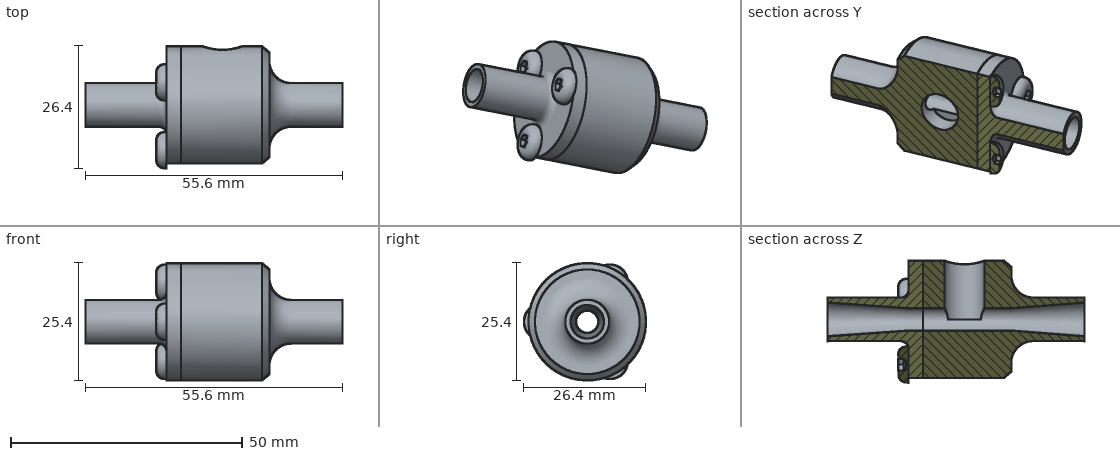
import cadquery as cq
import math

LENGTH = 55.65
X_START = -LENGTH / 2
X_END = LENGTH / 2
CAP_FACE_X = X_START + 17.5
CAP_THICKNESS = 3.15
JOINT_X = CAP_FACE_X + CAP_THICKNESS
HOUSING_FACE_X = X_START + 39.85

BODY_RADIUS = 25.4 / 2
TUBE_RADIUS = 9.5 / 2
CAP_FILLET = 12.6 / 2 - TUBE_RADIUS
HOUSING_FILLET = 4.6
CHAMFER_LENGTH = 1.65
CHAMFER_DEPTH = 1.4

MOUTH_RADIUS = 7.25 / 2
BORE_RADIUS = 4.8 / 2

PORT_DIAMETER = 8.6
PORT_X = X_START + 29.65

SCREW_COUNT = 3
SCREW_CIRCLE_RADIUS = 19.5 / 2
FIRST_SCREW_ANGLE = 180.0
HEAD_RADIUS = 7.9 / 2
HEAD_HEIGHT = 2.2
CROWN_RADIUS = 4.2 / 2
CROWN_ROUND = HEAD_RADIUS - CROWN_RADIUS
SOCKET_ACROSS_FLATS = 2.5
SOCKET_CORNER_DIAMETER = SOCKET_ACROSS_FLATS / math.cos(math.pi / 6)
SOCKET_DEPTH = 1.1
SOCKET_TIP_DEPTH = 0.7


def fillet_middle(center_x, center_radius, fillet, side):
    """Middle point of a quarter-circle fillet; side is the X direction towards the flange."""
    offset = fillet * math.sqrt(0.5)
    return (center_x + side * offset, center_radius - offset)


def revolve_about_x(profile):
    return profile.close().revolve(360, (0, 0, 0), (1, 0, 0))


def make_cap():
    """Cover plate with the filleted inlet tube, relieved where the screw heads sit."""
    fillet_start_x = CAP_FACE_X - CAP_FILLET
    fillet_end_radius = TUBE_RADIUS + CAP_FILLET
    profile = (
        cq.Workplane("XY")
        .moveTo(X_START, MOUTH_RADIUS)
        .lineTo(X_START, TUBE_RADIUS)
        .lineTo(fillet_start_x, TUBE_RADIUS)
        .threePointArc(
            fillet_middle(fillet_start_x, fillet_end_radius, CAP_FILLET, 1),
            (CAP_FACE_X, fillet_end_radius),
        )
        .lineTo(CAP_FACE_X, BODY_RADIUS)
        .lineTo(JOINT_X, BODY_RADIUS)
        .lineTo(JOINT_X, BORE_RADIUS)
        .lineTo(CAP_FACE_X, BORE_RADIUS)
    )
    cap = revolve_about_x(profile)
    for center in screw_centers():
        seat = cq.Workplane("YZ", origin=center).circle(HEAD_RADIUS).extrude(-HEAD_HEIGHT)
        cap = cap.cut(seat)
    return cap


def make_housing():
    """Chamfered cylinder with the flared outlet tube and the side port."""
    fillet_end_x = HOUSING_FACE_X + HOUSING_FILLET
    fillet_start_radius = TUBE_RADIUS + HOUSING_FILLET
    profile = (
        cq.Workplane("XY")
        .moveTo(JOINT_X, BORE_RADIUS)
        .lineTo(JOINT_X, BODY_RADIUS)
        .lineTo(HOUSING_FACE_X - CHAMFER_LENGTH, BODY_RADIUS)
        .lineTo(HOUSING_FACE_X, BODY_RADIUS - CHAMFER_DEPTH)
        .lineTo(HOUSING_FACE_X, fillet_start_radius)
        .threePointArc(
            fillet_middle(fillet_end_x, fillet_start_radius, HOUSING_FILLET, -1),
            (fillet_end_x, TUBE_RADIUS),
        )
        .lineTo(X_END, TUBE_RADIUS)
        .lineTo(X_END, MOUTH_RADIUS)
        .lineTo(HOUSING_FACE_X, BORE_RADIUS)
    )
    port = (
        cq.Workplane("XZ", origin=(PORT_X, 0, 0))
        .circle(PORT_DIAMETER / 2)
        .extrude(-BODY_RADIUS)
    )
    return revolve_about_x(profile).cut(port)


def screw_centers():
    """Points on the cap face where the screw heads are centred."""
    centers = []
    for index in range(SCREW_COUNT):
        angle = math.radians(FIRST_SCREW_ANGLE + index * 360 / SCREW_COUNT)
        y = SCREW_CIRCLE_RADIUS * math.cos(angle)
        z = SCREW_CIRCLE_RADIUS * math.sin(angle)
        centers.append((CAP_FACE_X, y, z))
    return centers


def make_screw(center):
    """Button head with a hexagonal socket that ends in a drill point."""
    head = (
        cq.Workplane("YZ", origin=center)
        .circle(HEAD_RADIUS)
        .extrude(-HEAD_HEIGHT)
        .faces("<X")
        .edges()
        .fillet(CROWN_ROUND)
    )
    _, y, z = center
    crown_x = CAP_FACE_X - HEAD_HEIGHT
    socket = (
        cq.Workplane("YZ", origin=(crown_x, y, z))
        .transformed(rotate=(0, 0, 90))
        .polygon(6, SOCKET_CORNER_DIAMETER)
        .extrude(SOCKET_DEPTH + SOCKET_TIP_DEPTH)
    )
    drilled_space = (
        cq.Workplane("XY")
        .moveTo(0, 0)
        .lineTo(0, SOCKET_CORNER_DIAMETER / 2)
        .lineTo(SOCKET_DEPTH, SOCKET_CORNER_DIAMETER / 2)
        .lineTo(SOCKET_DEPTH + SOCKET_TIP_DEPTH, 0)
    )
    drilled_space = revolve_about_x(drilled_space).translate((crown_x, y, z))
    return head.cut(socket.intersect(drilled_space))


cap = make_cap()
housing = make_housing()
screws = [make_screw(center) for center in screw_centers()]

result = cq.Compound.makeCompound(
    [cap.val(), housing.val(), *[screw.val() for screw in screws]]
)